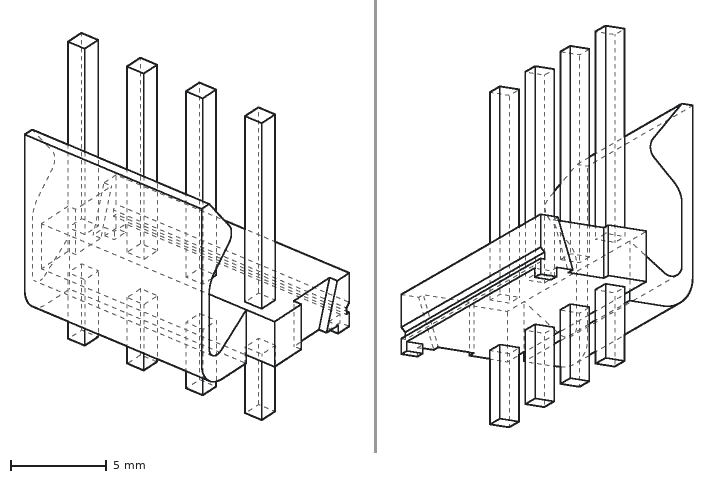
import cadquery as cq

PIN_COUNT = 4
PIN_PITCH = 3.97
PIN_SIDE = 1.13
PIN_Y = 4.9
PIN_TOP_Z = 18.28

BASE_WIDTH = 15.7
BASE_FRONT_Y = 3.75
BASE_BACK_Y = 10.02
BASE_BOTTOM_Z = 4.08
BASE_TOP_Z = 6.85

RECESS_DEPTH = 0.51
RECESS_FRONT_Y = 6.0
RECESS_BACK_TOP_Y = 9.0
RECESS_BACK_BOTTOM_Y = 8.1

GROOVE_DEPTH = 0.24
GROOVE_BOTTOM_Z = 4.42
GROOVE_INNER_HEIGHT = 0.38
GROOVE_MOUTH_HEIGHT = 0.62

FOOT_WIDTH = 0.64
FOOT_LENGTH = 0.95
FOOT_HEIGHT = 0.51
FOOT_BOTTOM_Z = BASE_BOTTOM_Z - FOOT_HEIGHT

LATCH_WIDTH = (PIN_COUNT - 1) * PIN_PITCH
LATCH_TOP_Z = 14.86
ARM_THICKNESS = 0.64
BEND_RADIUS = 1.75
VALLEY_Z = 4.66
VALLEY_RADIUS = 0.65
TOOTH_TIP_Y = 2.78
TOOTH_TIP_Z = 12.14
TOOTH_TIP_RADIUS = 0.8
TOOTH_ROOT_Z = TOOTH_TIP_Z - (TOOTH_TIP_Y - ARM_THICKNESS)
TOOTH_ROOT_RADIUS = 1.57


def extrude_along_x(outline, x_start, length):
    """Extrude a closed (y, z) outline along +X from x_start."""
    return cq.Workplane("YZ").workplane(offset=x_start).polyline(outline).close().extrude(length)


def make_block(x_min, y_min, z_min, x_size, y_size, z_size):
    """Box placed by its lowest corner."""
    return cq.Workplane("XY").box(x_size, y_size, z_size, centered=False).translate((x_min, y_min, z_min))


def make_base():
    base = make_block(
        -BASE_WIDTH / 2, BASE_FRONT_Y, BASE_BOTTOM_Z,
        BASE_WIDTH, BASE_BACK_Y - BASE_FRONT_Y, BASE_TOP_Z - BASE_BOTTOM_Z,
    )

    recess_outline = [
        (RECESS_FRONT_Y, BASE_BOTTOM_Z),
        (RECESS_BACK_BOTTOM_Y, BASE_BOTTOM_Z),
        (RECESS_BACK_TOP_Y, BASE_TOP_Z),
        (RECESS_FRONT_Y, BASE_TOP_Z),
    ]
    for x_start in (-BASE_WIDTH / 2, BASE_WIDTH / 2 - RECESS_DEPTH):
        base = base.cut(extrude_along_x(recess_outline, x_start, RECESS_DEPTH))

    groove_outline = [
        (BASE_BACK_Y, GROOVE_BOTTOM_Z),
        (BASE_BACK_Y, GROOVE_BOTTOM_Z + GROOVE_MOUTH_HEIGHT),
        (BASE_BACK_Y - GROOVE_DEPTH, GROOVE_BOTTOM_Z + GROOVE_INNER_HEIGHT),
        (BASE_BACK_Y - GROOVE_DEPTH, GROOVE_BOTTOM_Z),
    ]
    base = base.cut(extrude_along_x(groove_outline, -BASE_WIDTH / 2, BASE_WIDTH))

    for x_min in (-BASE_WIDTH / 2, BASE_WIDTH / 2 - FOOT_WIDTH):
        foot = make_block(
            x_min, BASE_BACK_Y - FOOT_LENGTH, FOOT_BOTTOM_Z,
            FOOT_WIDTH, FOOT_LENGTH, FOOT_HEIGHT,
        )
        base = base.union(foot)
    return base


def make_latch():
    bend_corner = (0, FOOT_BOTTOM_Z)
    valley_corner = (ARM_THICKNESS, VALLEY_Z)
    tooth_root = (ARM_THICKNESS, TOOTH_ROOT_Z)
    tooth_tip = (TOOTH_TIP_Y, TOOTH_TIP_Z)
    outline = [
        bend_corner,
        (BASE_FRONT_Y, FOOT_BOTTOM_Z),
        (BASE_FRONT_Y, BASE_TOP_Z),
        valley_corner,
        tooth_root,
        tooth_tip,
        (ARM_THICKNESS, LATCH_TOP_Z),
        (0, LATCH_TOP_Z),
    ]
    latch = extrude_along_x(outline, -LATCH_WIDTH / 2, LATCH_WIDTH)
    rounded_corners = [
        (bend_corner, BEND_RADIUS),
        (valley_corner, VALLEY_RADIUS),
        (tooth_root, TOOTH_ROOT_RADIUS),
        (tooth_tip, TOOTH_TIP_RADIUS),
    ]
    for (y, z), radius in rounded_corners:
        corner_edge = cq.selectors.NearestToPointSelector((0, y, z))
        latch = latch.edges("|X").edges(corner_edge).fillet(radius)
    return latch


def make_housing():
    """Base and latch moulded in one piece."""
    return make_base().union(make_latch())


def make_pin(x, z_min, z_max):
    """Square pin length centred at x in the pin row."""
    return make_block(
        x - PIN_SIDE / 2, PIN_Y - PIN_SIDE / 2, z_min,
        PIN_SIDE, PIN_SIDE, z_max - z_min,
    )


housing = make_housing()

contact_pins = []
solder_tails = []
for index in range(PIN_COUNT):
    pin_x = (index - (PIN_COUNT - 1) / 2) * PIN_PITCH
    contact_pins.append(make_pin(pin_x, BASE_TOP_Z, PIN_TOP_Z).val())
    solder_tails.append(make_pin(pin_x, 0, BASE_BOTTOM_Z).val())

result = cq.Compound.makeCompound([housing.val(), *contact_pins, *solder_tails])